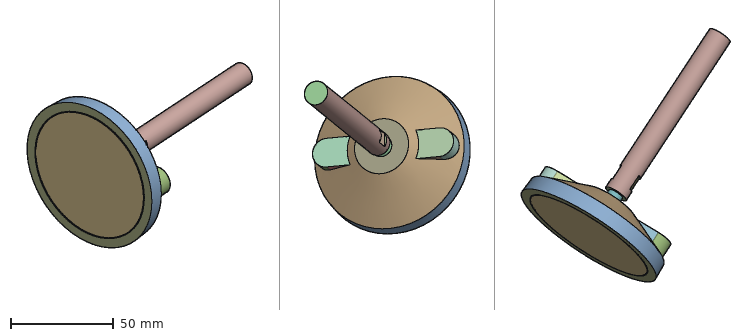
import cadquery as cq

total_length = 120.0

base_diameter = 78.0
rim_top_diameter = 77.0
rim_height = 8.0
cone_top_diameter = 27.8
cone_top = 19.9

groove_outer_diameter = 68.0
groove_inner_diameter = 67.5
groove_depth = 0.6

lug_width = 14.5
lug_span = 72.7
lug_top = 17.8

collar_diameter = 10.5
collar_top = 21.2
neck_diameter = 7.8
neck_top = 25.0
rod_diameter = 12.0

flat_start = 30.0
flat_length = 8.0
across_flats = 10.0


def disc(diameter, start, end):
    """Cylinder on the Y axis between two heights."""
    return cq.Workplane("XZ", origin=(0, start, 0)).circle(diameter / 2).extrude(start - end)


def make_foot_and_spindle():
    profile = [
        (0, 0),
        (base_diameter / 2, 0),
        (rim_top_diameter / 2, rim_height),
        (cone_top_diameter / 2, cone_top),
        (collar_diameter / 2, cone_top),
        (neck_diameter / 2, collar_top),
        (neck_diameter / 2, neck_top),
        (rod_diameter / 2, neck_top),
        (rod_diameter / 2, total_length),
        (0, total_length),
    ]
    return cq.Workplane("XY").polyline(profile).close().revolve(360, (0, 0, 0), (0, 1, 0))


def make_lugs():
    lug_bottom = rim_height / 2
    return (
        cq.Workplane("XZ", origin=(0, lug_bottom, 0))
        .slot2D(lug_span, lug_width)
        .extrude(lug_bottom - lug_top)
    )


def make_flat_cutter():
    flat_end = flat_start + flat_length
    kept_core = cq.Workplane("XY", origin=(0, (flat_start + flat_end) / 2, 0)).box(
        across_flats, flat_length, rod_diameter
    )
    return disc(rod_diameter, flat_start, flat_end).cut(kept_core)


def make_pad_groove():
    return disc(groove_outer_diameter, 0, groove_depth).cut(disc(groove_inner_diameter, 0, groove_depth))


result = make_foot_and_spindle().union(make_lugs()).cut(make_flat_cutter()).cut(make_pad_groove())